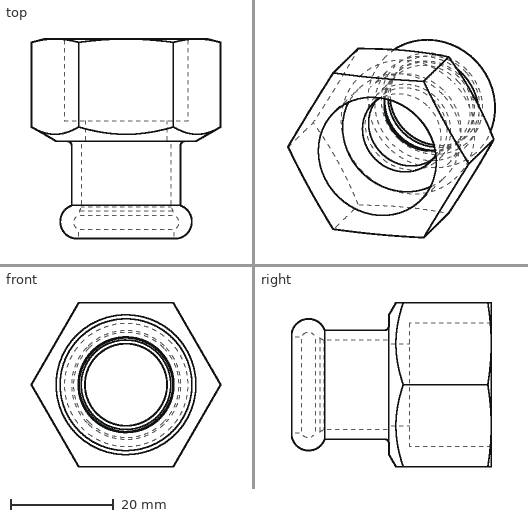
import cadquery as cq
import math

length = 39.0
mouth_y = -length / 2
back_y = length / 2

hex_across_flats = 32.0
hex_across_corners = hex_across_flats / math.cos(math.pi / 6)
hex_length = 20.0
hex_front_y = back_y - hex_length
turning_clearance = 0.4
front_face_radius = 27.3 / 2
front_chamfer_angle = math.radians(30)
back_face_radius = 31.75 / 2
back_chamfer_angle = math.radians(15)

tube_radius = 21.3 / 2
neck_fillet = 0.85
bead_radius = 25.75 / 2
bead_width = 6.47
lip_radius = 20.05 / 2

mouth_radius = 18.7 / 2
lip_round = lip_radius - mouth_radius
groove_start = 1.87
groove_end = bead_width - groove_start
groove_depth = 0.95
land_radius = 18.3 / 2
land_end = 5.45
socket_radius = 17.47 / 2
taper_end = 6.25
socket_depth = length - hex_length

through_radius = 16.0 / 2
thread_radius = 24.1 / 2
thread_depth = 16.0

arc_mid_offset = 1 - math.sqrt(0.5)


def revolve_about_y(profile):
    return profile.close().revolve(360, (0, 0, 0), (0, 1, 0))


def hex_body():
    """Hexagonal prism, corners on X, turned down conically at both ends."""
    prism = (
        cq.Workplane("XZ", origin=(0, back_y, 0))
        .polygon(6, hex_across_corners)
        .extrude(hex_length)
    )
    corner_radius = hex_across_corners / 2 + turning_clearance
    front_drop = (corner_radius - front_face_radius) * math.tan(front_chamfer_angle)
    back_drop = (corner_radius - back_face_radius) * math.tan(back_chamfer_angle)
    envelope = revolve_about_y(
        cq.Workplane("XY")
        .moveTo(0, hex_front_y)
        .lineTo(front_face_radius, hex_front_y)
        .lineTo(corner_radius, hex_front_y + front_drop)
        .lineTo(corner_radius, back_y - back_drop)
        .lineTo(back_face_radius, back_y)
        .lineTo(0, back_y)
    )
    return prism.intersect(envelope)


def beaded_tube():
    """Solid tube with a rounded bead at the mouth and a fillet at the hex."""
    overlap_y = hex_front_y + neck_fillet
    bead_crest = (bead_radius, mouth_y + bead_width / 2)
    neck_mid = (
        tube_radius + neck_fillet * arc_mid_offset,
        hex_front_y - neck_fillet * arc_mid_offset,
    )
    return revolve_about_y(
        cq.Workplane("XY")
        .moveTo(0, mouth_y)
        .lineTo(lip_radius, mouth_y)
        .threePointArc(bead_crest, (tube_radius, mouth_y + bead_width))
        .lineTo(tube_radius, hex_front_y - neck_fillet)
        .threePointArc(neck_mid, (tube_radius + neck_fillet, hex_front_y))
        .lineTo(tube_radius + neck_fillet, overlap_y)
        .lineTo(0, overlap_y)
    )


def bore():
    """Press socket with seal groove, through bore and thread core bore."""
    lip_mid = (
        mouth_radius + lip_round * arc_mid_offset,
        mouth_y + lip_round * arc_mid_offset,
    )
    groove_bottom = (mouth_radius + groove_depth, mouth_y + bead_width / 2)
    socket_end_y = mouth_y + socket_depth
    thread_start_y = back_y - thread_depth
    return revolve_about_y(
        cq.Workplane("XY")
        .moveTo(0, mouth_y)
        .lineTo(lip_radius, mouth_y)
        .threePointArc(lip_mid, (mouth_radius, mouth_y + lip_round))
        .lineTo(mouth_radius, mouth_y + groove_start)
        .threePointArc(groove_bottom, (land_radius, mouth_y + groove_end))
        .lineTo(land_radius, mouth_y + land_end)
        .lineTo(socket_radius, mouth_y + taper_end)
        .lineTo(socket_radius, socket_end_y)
        .lineTo(through_radius, socket_end_y)
        .lineTo(through_radius, thread_start_y)
        .lineTo(thread_radius, thread_start_y)
        .lineTo(thread_radius, back_y)
        .lineTo(0, back_y)
    )


result = hex_body().union(beaded_tube()).cut(bore())